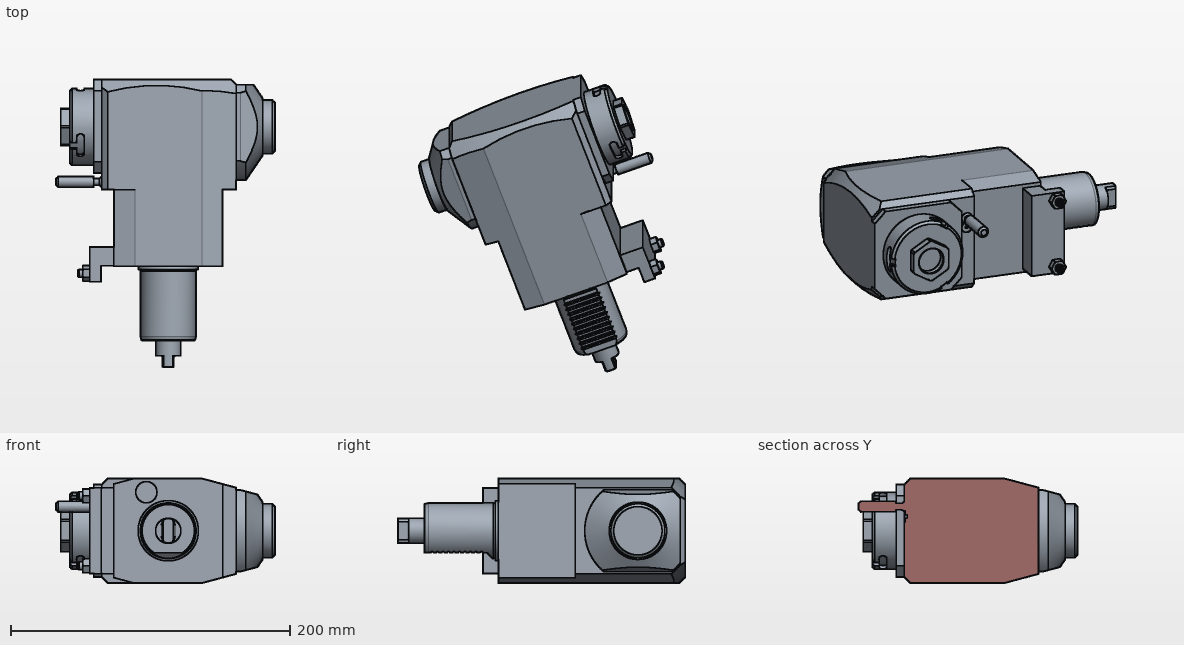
import cadquery as cq
import math


overall_length = 206.0
hex_half_step = 30

half_height = 37.5
housing_back = 134.0
head_front = 55.0
head_left = -47.5
head_right = 48.6
neck_half_width = 39.0
slope_start = 24.0
slope = math.tan(math.radians(15))
head_left_chamfer = 4.3
head_right_chamfer = 3.7
crown_radius = 189.5
crown_center_x = -8.2
crown_chamfer = 4.3
plug_radius = 7.6
plug_x = -15.7
plug_z = 27.6
plug_recess = 0.5

spindle_y = 100.0
plate_left = -53.4
plate_front = 66.7
plate_half_height = half_height - head_left_chamfer
plate_chamfer = 8.2
nut_left = -70.7
nut_radius = 27.6
nut_chamfer = 1.9
nut_slot_x = -62.8
nut_slot_length = 18.5
nut_slot_width = 5.4
nut_slot_depth = 2.5
nut_slot_angles = (0, 120, 240)
spindle_hex_left = -77.0
spindle_hex_flats = 26.8
spindle_hex_round = 15.0
spindle_bore_radius = 9.3
spindle_bore_chamfer = 0.5
spindle_bore_depth = 5.4

cover_radius = 38.1
cover_rim_right = 55.6
cover_right = 67.5
cover_tip_radius = 20.5
cover_flat_z = 29.3
cover_flat_right = 51.7
cover_back = housing_back - head_right_chamfer
boss_right = 76.5
boss_radius = 19.4
boss_chamfer = 2.0

pin_y = 60.5
pin_z = 17.3
pin_left = -80.3
pin_radius = 4.0
pin_tip_chamfer = 1.6
pin_neck_radius = 2.5
pin_collar_left = -49.2
screw_z = 10.3
screw_radius = 4.0
screw_recess = 0.5
screw_socket_radius = 1.0
screw_socket_depth = 2.0

bracket_left = -56.2
bracket_back = 14.0
bracket_step = 0.5
bracket_front = -11.1
bracket_leg_right = -48.0
bracket_half_height = 30.7
bolt_y = -5.0
bolt_z = 25.1
bolt_nut_flats = 9.9
bolt_nut_chamfer = 0.5
bolt_nut_height = 5.0
bolt_radius = 2.9
bolt_left = -64.7
bolt_chamfer = 0.8
bolt_socket_flats = 2.7
bolt_socket_depth = 2.0

shank_radius = 20.0
shank_end = -53.1
shank_chamfer_radial = 0.6
shank_chamfer_length = 3.0
shank_tip_chamfer = 0.6
collar_radius = 21.6
collar_length = 2.3
relief_radius = 19.5
relief_end = -3.5
rack_flat_z = -15.7
rack_start = -8.2
rack_pitch = 4.0
rack_tooth_depth = 1.0
rack_groove_count = 10
drive_radius = 9.0
drive_shoulder = -64.0
drive_end = housing_back - overall_length
tang_half_width = 4.1
tang_flat_half_height = 6.4
tang_bevel_width = 0.8
tang_bevel_height = 2.0
tang_end_chamfer = 0.5
tang_root_fillet = 0.8


def box(x0, x1, y0, y1, z0, z1):
    """Box between opposite corner coordinates."""
    return cq.Workplane("XY").box(x1 - x0, y1 - y0, z1 - z0, centered=False).translate((x0, y0, z0))


def rod_x(x0, x1, radius, y, z):
    """Cylinder along X."""
    return cq.Workplane("YZ", origin=(x0, y, z)).circle(radius).extrude(x1 - x0)


def hex_x(x0, x1, flats, y, z, turn=0):
    """Hexagonal prism along X with corners on the Y line, turned about its axis."""
    corner_diameter = flats / math.cos(math.pi / 6)
    prism = cq.Workplane("YZ").polygon(6, corner_diameter).extrude(x1 - x0)
    return prism.rotate((0, 0, 0), (1, 0, 0), turn).translate((x0, y, z))


def turned_x(profile, y, z):
    """Solid turned about an axis along X from (x, radius) points."""
    outline = [(profile[0][0], 0)] + profile + [(profile[-1][0], 0)]
    turned = cq.Workplane("XY").polyline(outline).close().revolve(360, (0, 0), (1, 0))
    return turned.translate((0, y, z))


def sloped_z(x):
    """Height of the sloping roof at a distance x from the shank axis."""
    return half_height - (abs(x) - slope_start) * slope


def extruded_outline(upper_points, y0, y1):
    """Extrude along Y an XZ outline mirrored about Z = 0."""
    lower_points = [(x, -z) for x, z in reversed(upper_points)]
    return cq.Workplane("XZ", origin=(0, y1, 0)).polyline(upper_points + lower_points).close().extrude(y1 - y0)


def make_housing():
    neck = extruded_outline(
        [
            (-neck_half_width, sloped_z(neck_half_width)),
            (-slope_start, half_height),
            (slope_start, half_height),
            (neck_half_width, sloped_z(neck_half_width)),
        ],
        0,
        head_front,
    )
    head = extruded_outline(
        [
            (head_left, half_height - head_left_chamfer),
            (head_left + head_left_chamfer, half_height),
            (slope_start, half_height),
            (head_right, sloped_z(head_right)),
        ],
        head_front,
        housing_back,
    )
    head = head.edges("|Z and >X and >Y").chamfer(head_right_chamfer)
    crown_distance = (housing_back + half_height - crown_chamfer) / math.sqrt(2)
    axis_offset = (crown_distance - crown_radius) / math.sqrt(2)
    for side in (1, -1):
        plane = cq.Plane(
            origin=(crown_center_x, axis_offset, side * axis_offset),
            xDir=(1, 0, 0),
            normal=(0, 1, -side),
        )
        head = head.intersect(cq.Workplane(plane).circle(crown_radius).extrude(2 * housing_back, both=True))
    plug = cq.Workplane("XZ", origin=(plug_x, 0, plug_z)).circle(plug_radius).extrude(-plug_recess)
    return neck.union(head).cut(plug)


def make_spindle_nut():
    nut = turned_x(
        [
            (nut_left, nut_radius - nut_chamfer),
            (nut_left + nut_chamfer, nut_radius),
            (plate_left, nut_radius),
        ],
        0,
        0,
    )
    slot = cq.Workplane("XZ", origin=(nut_slot_x, 0, 0)).slot2D(nut_slot_length, nut_slot_width, 90)
    slot = slot.extrude(-2 * nut_radius)
    half_slot = nut_slot_width / 2
    slot = slot.union(box(nut_left, nut_slot_x, 0, 2 * nut_radius, -half_slot, half_slot))
    slot = slot.cut(rod_x(nut_left, plate_left, nut_radius - nut_slot_depth, 0, 0))
    for angle in nut_slot_angles:
        nut = nut.cut(slot.rotate((0, 0, 0), (1, 0, 0), angle))
    nut = nut.translate((0, spindle_y, 0))
    hexagon = hex_x(spindle_hex_left, nut_left, spindle_hex_flats, spindle_y, 0, hex_half_step)
    hexagon = hexagon.intersect(rod_x(spindle_hex_left, nut_left, spindle_hex_round, spindle_y, 0))
    bore_end = spindle_hex_left + spindle_bore_depth
    bore = turned_x(
        [
            (spindle_hex_left, spindle_bore_radius + spindle_bore_chamfer),
            (spindle_hex_left + spindle_bore_chamfer, spindle_bore_radius),
            (bore_end, spindle_bore_radius),
        ],
        spindle_y,
        0,
    )
    return nut.union(hexagon.cut(bore))


def make_plate():
    plate = box(plate_left, head_left, plate_front, housing_back, -plate_half_height, plate_half_height)
    return plate.edges("|X").chamfer(plate_chamfer)


def make_cover():
    cover = turned_x(
        [
            (head_right, cover_radius),
            (cover_rim_right, cover_radius),
            (cover_right, cover_tip_radius),
        ],
        spindle_y,
        0,
    )
    flat_end_z = cover_flat_z - (cover_right - cover_flat_right) * slope
    envelope = extruded_outline(
        [
            (head_right, cover_flat_z),
            (cover_flat_right, cover_flat_z),
            (cover_right, flat_end_z),
        ],
        0,
        cover_back,
    )
    boss = turned_x(
        [
            (cover_right, boss_radius),
            (boss_right - boss_chamfer, boss_radius),
            (boss_right, boss_radius - boss_chamfer),
        ],
        spindle_y,
        0,
    )
    return cover.intersect(envelope).union(boss)


def make_coolant_pin():
    return turned_x(
        [
            (pin_left, pin_radius - pin_tip_chamfer),
            (pin_left + pin_tip_chamfer, pin_radius),
            (plate_left, pin_radius),
            (plate_left, pin_neck_radius),
            (pin_collar_left, pin_neck_radius),
            (head_left, pin_radius),
        ],
        pin_y,
        pin_z,
    )


def make_screw_recess():
    recess = rod_x(head_left, head_left + screw_recess, screw_radius, pin_y, screw_z)
    return recess.union(rod_x(head_left, head_left + screw_socket_depth, screw_socket_radius, pin_y, screw_z))


def make_bracket():
    bottom = -bracket_half_height
    top = bracket_half_height
    arm = box(bracket_left, -neck_half_width, bracket_step, bracket_back, bottom, top)
    leg = box(bracket_left, bracket_leg_right, bracket_front, bracket_back, bottom, top)
    bracket = arm.union(leg)
    for z in (bolt_z, -bolt_z):
        nut = hex_x(bracket_left - bolt_nut_height, bracket_left, bolt_nut_flats, bolt_y, z)
        corner_radius = bolt_nut_flats / (2 * math.cos(math.pi / 6))
        corner_cone = turned_x(
            [
                (bracket_left - bolt_nut_height, corner_radius - bolt_nut_chamfer),
                (bracket_left - bolt_nut_height + bolt_nut_chamfer, corner_radius),
                (bracket_left, corner_radius),
            ],
            bolt_y,
            z,
        )
        nut = nut.intersect(corner_cone)
        bolt = rod_x(bolt_left, bracket_left, bolt_radius, bolt_y, z).faces("<X").chamfer(bolt_chamfer)
        socket = hex_x(bolt_left, bolt_left + bolt_socket_depth, bolt_socket_flats, bolt_y, z, hex_half_step)
        bracket = bracket.union(nut).union(bolt.cut(socket))
    return bracket


def make_shank():
    tip_radius = shank_radius - shank_chamfer_radial
    outline = [
        (0, 0),
        (relief_radius, 0),
        (relief_radius, relief_end),
        (shank_radius, relief_end),
        (shank_radius, shank_end + shank_chamfer_length),
        (tip_radius, shank_end + shank_tip_chamfer),
        (tip_radius - shank_tip_chamfer, shank_end),
        (0, shank_end),
    ]
    shank = cq.Workplane("XY").polyline(outline).close().revolve(360, (0, 0), (0, 1))
    flat_depth = shank_radius + rack_flat_z
    flat = cq.Workplane("YZ").polyline(
        [
            (shank_end, rack_flat_z),
            (rack_start, rack_flat_z),
            (rack_start + flat_depth, -shank_radius),
            (shank_end, -shank_radius),
        ]
    )
    shank = shank.cut(flat.close().extrude(shank_radius, both=True))
    for index in range(rack_groove_count):
        groove_y = rack_start - (index + 1) * rack_pitch
        groove = cq.Workplane("YZ").polyline(
            [
                (groove_y - rack_tooth_depth, rack_flat_z),
                (groove_y, rack_flat_z + rack_tooth_depth),
                (groove_y + rack_tooth_depth, rack_flat_z),
            ]
        )
        shank = shank.cut(groove.close().extrude(shank_radius, both=True))
    collar = (
        cq.Workplane("XY")
        .lineTo(shank_radius, 0)
        .threePointArc((collar_radius, -collar_length / 2), (shank_radius, -collar_length))
        .lineTo(0, -collar_length)
        .close()
        .revolve(360, (0, 0), (0, 1))
    )
    return shank.union(collar).union(make_drive())


def make_drive():
    drive = cq.Workplane("XZ", origin=(0, shank_end, 0)).circle(drive_radius).extrude(shank_end - drive_shoulder)
    beveled_x = tang_half_width - tang_bevel_width
    beveled_z = tang_flat_half_height + tang_bevel_height
    tang = extruded_outline(
        [
            (-tang_half_width, tang_flat_half_height),
            (-beveled_x, beveled_z),
            (-beveled_x, drive_radius),
            (beveled_x, drive_radius),
            (beveled_x, beveled_z),
            (tang_half_width, tang_flat_half_height),
        ],
        drive_end,
        drive_shoulder,
    )
    round_bar = cq.Workplane("XZ", origin=(0, drive_shoulder, 0)).circle(drive_radius)
    tang = tang.intersect(round_bar.extrude(drive_shoulder - drive_end))
    tang = tang.faces("<Y").chamfer(tang_end_chamfer)
    drive = drive.union(tang)
    root_edges = cq.selectors.BoxSelector(
        (-tang_half_width - tang_root_fillet, drive_shoulder - tang_root_fillet, -drive_radius / 2),
        (tang_half_width + tang_root_fillet, drive_shoulder + tang_root_fillet, drive_radius / 2),
    )
    return drive.edges("|Z").edges(root_edges).fillet(tang_root_fillet)


result = (
    make_housing()
    .union(make_plate())
    .union(make_spindle_nut())
    .union(make_cover())
    .union(make_coolant_pin())
    .cut(make_screw_recess())
    .union(make_bracket())
    .union(make_shank())
)